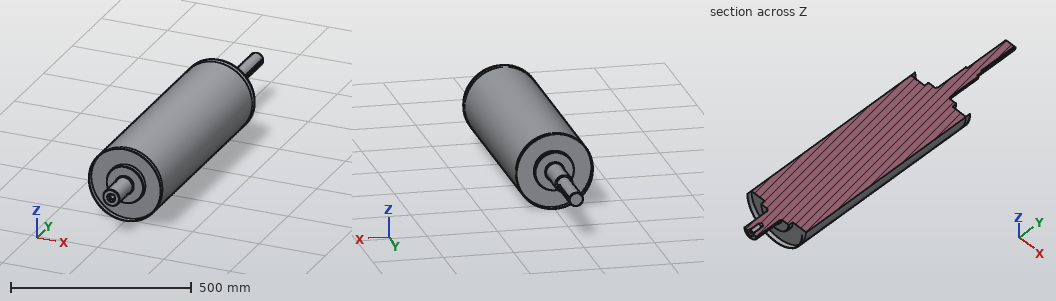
import cadquery as cq
import math

DRUM_DIAMETER = 219
RIM_INNER_DIAMETER = 215
DRUM_LENGTH = 650
RIM_DEPTH = 15

HUB_DIAMETER = 112
HUB_HEIGHT = RIM_DEPTH
HUB_CHAMFER = 2
COLLAR_DIAMETER = 55
COLLAR_OVERHANG = 5

JOURNAL_DIAMETER = 50
FREE_JOURNAL_LENGTH = 95
DRIVE_JOURNAL_LENGTH = 115
DRIVE_DIAMETER = 40
DRIVE_LENGTH = 150
SHAFT_END_CHAMFER = 2

KEYWAY_WIDTH = 12
KEYWAY_DEPTH = 5
KEYWAY_LENGTH = 125
KEYWAY_END_GAP = 5

BORE_DIAMETER = 13.84
BORE_DEPTH = 42
DRILL_POINT_ANGLE = 120
COUNTERBORE_DIAMETER = 17
COUNTERBORE_DEPTH = 10
COUNTERSINK_DIAMETER = 23
COUNTERSINK_ANGLE = 60
MOUTH_DIAMETER = 25
MOUTH_ANGLE = 120

DRUM_END = DRUM_LENGTH / 2
DISC_FACE = DRUM_END - RIM_DEPTH
FREE_END = -DRUM_END - FREE_JOURNAL_LENGTH
DRIVE_SHOULDER = DRUM_END + DRIVE_JOURNAL_LENGTH
DRIVE_END = DRIVE_SHOULDER + DRIVE_LENGTH


def cylinder(diameter, y_start, y_end):
    """Solid cylinder on the roller axis between two Y stations."""
    base = cq.Workplane("XZ", origin=(0, y_start, 0))
    return base.circle(diameter / 2).extrude(y_start - y_end)


def make_drum():
    """Drum with a shallow recess inside each rim."""
    drum = cylinder(DRUM_DIAMETER, -DRUM_END, DRUM_END)
    drum = drum.cut(cylinder(RIM_INNER_DIAMETER, -DRUM_END, -DISC_FACE))
    return drum.cut(cylinder(RIM_INNER_DIAMETER, DISC_FACE, DRUM_END))


def make_shaft():
    """Stepped shaft with hubs and collars alike at both drum ends."""
    hub_face = DISC_FACE + HUB_HEIGHT
    collar_face = DRUM_END + COLLAR_OVERHANG
    shaft = cylinder(JOURNAL_DIAMETER, FREE_END, DRIVE_SHOULDER)
    shaft = shaft.faces("<Y").chamfer(SHAFT_END_CHAMFER)
    hub = cylinder(HUB_DIAMETER, -hub_face, hub_face)
    shaft = shaft.union(hub.faces("<Y or >Y").chamfer(HUB_CHAMFER))
    shaft = shaft.union(cylinder(COLLAR_DIAMETER, -collar_face, collar_face))
    drive = cylinder(DRIVE_DIAMETER, DRIVE_SHOULDER, DRIVE_END)
    return shaft.union(drive.faces(">Y").chamfer(SHAFT_END_CHAMFER))


def make_keyway():
    """Round-ended cutter for the keyway."""
    keyway_floor = DRIVE_DIAMETER / 2 - KEYWAY_DEPTH
    keyway_centre = DRIVE_END - KEYWAY_END_GAP - KEYWAY_LENGTH / 2
    base = cq.Workplane("YZ", origin=(keyway_floor, keyway_centre, 0))
    return base.slot2D(KEYWAY_LENGTH, KEYWAY_WIDTH).extrude(DRIVE_DIAMETER / 2)


def cone_height(radius_change, included_angle):
    """Axial length over which a cone changes its radius by the given amount."""
    return radius_change / math.tan(math.radians(included_angle / 2))


def make_centre_hole():
    """Cutter for the centre hole, a half section turned about the roller axis."""
    bore_radius = BORE_DIAMETER / 2
    counterbore_radius = COUNTERBORE_DIAMETER / 2
    countersink_radius = COUNTERSINK_DIAMETER / 2
    mouth_radius = MOUTH_DIAMETER / 2
    mouth_depth = cone_height(mouth_radius - countersink_radius, MOUTH_ANGLE)
    countersink_depth = mouth_depth + cone_height(countersink_radius - counterbore_radius, COUNTERSINK_ANGLE)
    tip_depth = BORE_DEPTH + cone_height(bore_radius, DRILL_POINT_ANGLE)
    section = cq.Workplane("XY", origin=(0, FREE_END, 0)).polyline([
        (0, 0),
        (mouth_radius, 0),
        (countersink_radius, mouth_depth),
        (counterbore_radius, countersink_depth),
        (counterbore_radius, COUNTERBORE_DEPTH),
        (bore_radius, COUNTERBORE_DEPTH),
        (bore_radius, BORE_DEPTH),
        (0, tip_depth),
    ]).close()
    return section.revolve(360, (0, 0, 0), (0, 1, 0))


result = make_drum().union(make_shaft()).cut(make_keyway()).cut(make_centre_hole())